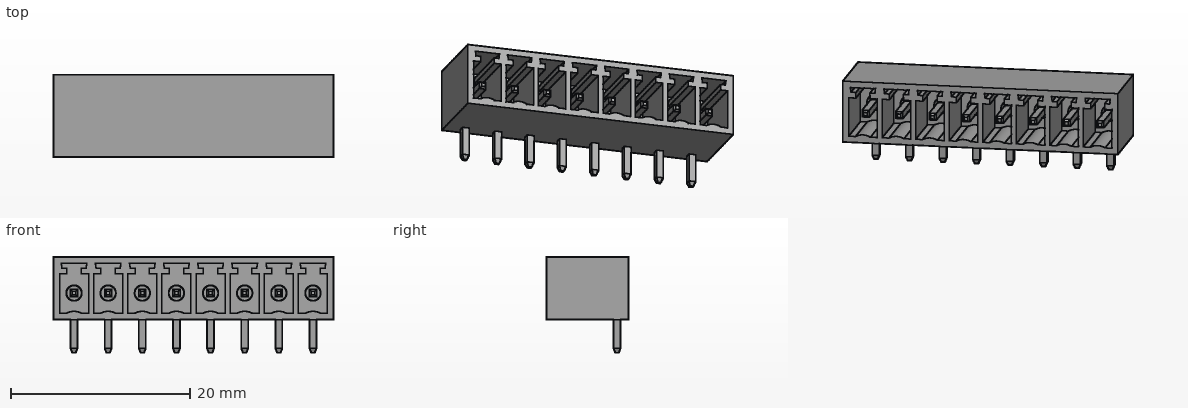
import cadquery as cq

pole_count = 8
pitch = 3.81
end_allowance = 0.8
housing_length = pole_count * pitch + end_allowance
housing_depth = 9.2
housing_height = 7.0

back_wall = 2.2
socket_depth = housing_depth - back_wall
socket_width = 3.24
socket_floor = 0.7
socket_ceiling = 5.12
neck_width = 1.6
neck_top = 5.76
key_bottom_width = 2.7
key_top_width = 2.86
key_top = 6.3

rib_width = 1.7
rib_height = 0.23

collar_root_diameter = 1.75
collar_end_diameter = 1.69
collar_length = 0.3

pin_size = 0.8
contact_height = 2.97
contact_tip_size = 0.4
contact_taper = 0.3
contact_setback = 1.4
leg_length = 3.7
leg_tip_size = 0.4
leg_taper = 0.5
leg_from_back = 1.3
leg_y = housing_depth - leg_from_back

pole_positions = [(i - (pole_count - 1) / 2) * pitch for i in range(pole_count)]


def make_housing():
    return cq.Workplane("XY").box(
        housing_length, housing_depth, housing_height, centered=(True, False, False)
    )


def front_plane(x, y, z):
    """Plane facing +Y, with local x along +X and local y along -Z."""
    return cq.Workplane(cq.Plane(origin=(x, y, z), xDir=(1, 0, 0), normal=(0, 1, 0)))


def make_socket(x):
    """Pocket with a dovetail key slot above and a rounded rib on its floor."""
    outline = [
        (rib_width / 2, socket_floor),
        (socket_width / 2, socket_floor),
        (socket_width / 2, socket_ceiling),
        (neck_width / 2, socket_ceiling),
        (neck_width / 2, neck_top),
        (key_bottom_width / 2, neck_top),
        (key_top_width / 2, key_top),
    ]
    mirrored = [(-px, pz) for px, pz in reversed(outline)]
    points = [(px, -pz) for px, pz in outline + mirrored]
    return (
        front_plane(x, 0, 0)
        .polyline(points)
        .threePointArc((0, -(socket_floor + rib_height)), points[0])
        .close()
        .extrude(socket_depth)
    )


def tapered_tip(origin, direction, tip_size, length):
    """Square frustum narrowing from the pin section along the given direction."""
    base_plane = cq.Plane(origin=origin, xDir=(1, 0, 0), normal=direction)
    return (
        cq.Workplane(base_plane)
        .rect(pin_size, pin_size)
        .workplane(offset=length)
        .rect(tip_size, tip_size)
        .loft(combine=True)
    )


def make_pin(x):
    """Right-angle pin with tapered ends, plus its collar on the back wall."""
    blade_start = contact_setback + contact_taper
    blade = (
        front_plane(x, blade_start, contact_height)
        .rect(pin_size, pin_size)
        .extrude(leg_y + pin_size / 2 - blade_start)
    )
    blade_tip = tapered_tip((x, blade_start, contact_height), (0, -1, 0), contact_tip_size, contact_taper)
    taper_start = leg_taper - leg_length
    leg = (
        cq.Workplane("XY", origin=(x, leg_y, taper_start))
        .rect(pin_size, pin_size)
        .extrude(contact_height - taper_start)
    )
    leg_tip = tapered_tip((x, leg_y, taper_start), (0, 0, -1), leg_tip_size, leg_taper)
    collar = (
        front_plane(x, socket_depth - collar_length, contact_height)
        .circle(collar_end_diameter / 2)
        .workplane(offset=collar_length)
        .circle(collar_root_diameter / 2)
        .loft(combine=True)
    )
    return blade.union(blade_tip).union(leg).union(leg_tip).union(collar)


result = make_housing()
for pole_x in pole_positions:
    result = result.cut(make_socket(pole_x))
for pole_x in pole_positions:
    result = result.union(make_pin(pole_x))